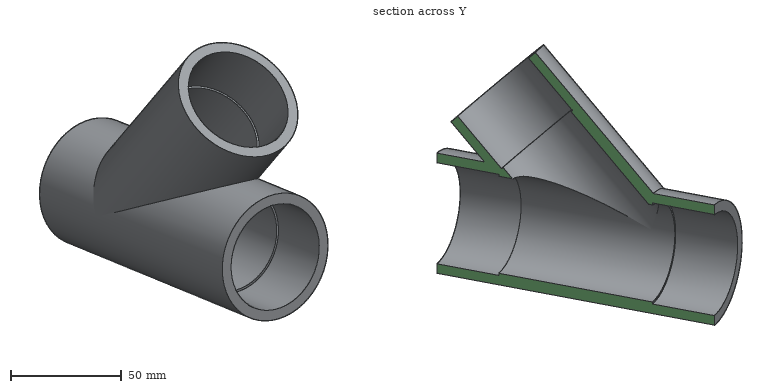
import cadquery as cq
import math

outer_diameter = 60.0
socket_diameter = 50.0
bore_diameter = 48.0
socket_depth = 31.0
branch_angle = 45.0
short_leg = 43.0
long_leg = 96.0

branch_direction = cq.Vector(
    math.cos(math.radians(branch_angle)), 0, math.sin(math.radians(branch_angle))
)
run_direction = cq.Vector(1, 0, 0)
junction = cq.Vector(0, 0, 0)

legs = [
    (run_direction * -1, short_leg),
    (run_direction, long_leg),
    (branch_direction, long_leg),
]


def cylinder(diameter, length, start, direction):
    """Solid cylinder running from start along direction."""
    return cq.Workplane(cq.Solid.makeCylinder(diameter / 2, length, start, direction))


def wye(diameter):
    """Straight run along X joined to the branch, both of one diameter."""
    run_start = run_direction * -short_leg
    run = cylinder(diameter, short_leg + long_leg, run_start, run_direction)
    branch = cylinder(diameter, long_leg, junction, branch_direction)
    return run.union(branch)


def socket(direction, leg_length):
    """Counterbore cut inward from the open end of a leg."""
    return cylinder(socket_diameter, socket_depth, direction * leg_length, direction * -1)


result = wye(outer_diameter).cut(wye(bore_diameter))
for leg_direction, leg_length in legs:
    result = result.cut(socket(leg_direction, leg_length))